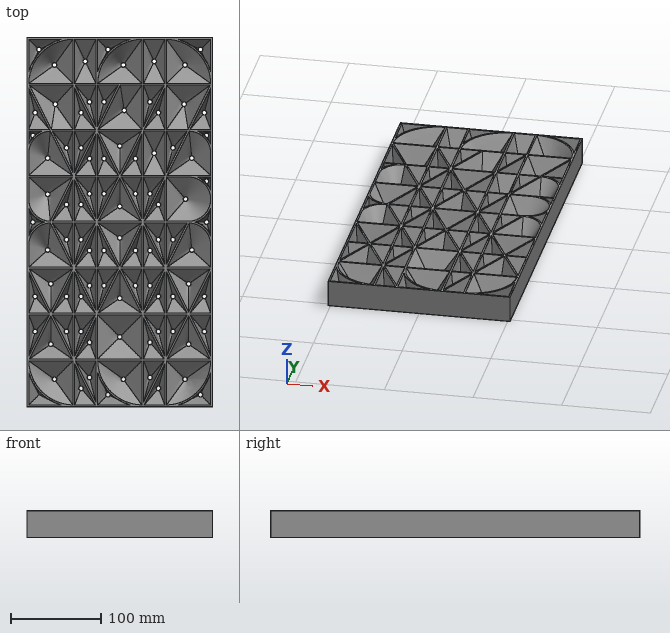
import cadquery as cq
import math

length = 408.5
height = 30.0
wall = 2.0
hole_diameter = 5.0

tip_diameter = 0.5
tip_height = 0.5

columns = 8
rows = 16
pitch = (length - wall) / rows
width = columns * pitch + wall

straight_walls = [((0, row), (columns, row)) for row in (0, 2, 4, 6, 10, 12, 14, 16)]
straight_walls += [((1, 8), (7, 8))]
straight_walls += [((column, 0), (column, rows)) for column in (0, 2, 3, 5, 6, 8)]

band_rows = 2
slants = {
    0: [(3, 2), (5, 6)],
    2: [(0, 1), (2, 1), (2, 3), (6, 5), (6, 7), (8, 7)],
    4: [(1, 0), (1, 2), (3, 2), (3, 4), (5, 4), (5, 6), (7, 6), (7, 8)],
    6: [(2, 1), (2, 3), (4, 3), (4, 5), (6, 5), (6, 7)],
    8: [(1, 2), (3, 2), (3, 4), (5, 4), (5, 6)],
    10: [(2, 1), (2, 3), (4, 3), (4, 5), (6, 7)],
    12: [(1, 0), (3, 2), (3, 4), (5, 6), (7, 8)],
}
straight_walls += [
    ((bottom, row), (top, row + band_rows)) for row, band in slants.items() for bottom, top in band
]

UPPER_RIGHT = 0
UPPER_LEFT = 90
LOWER_LEFT = 180
LOWER_RIGHT = 270

BLIND_CORNER_WALL = (2, 2, 2, LOWER_LEFT)

round_walls = [
    (2, 14, 2, UPPER_LEFT),
    (5, 14, 2, UPPER_LEFT),
    (6, 14, 2, UPPER_RIGHT),
    (1, 11, 1, UPPER_LEFT),
    (7, 11, 1, UPPER_RIGHT),
    (1, 9, 1, LOWER_LEFT),
    (7, 9, 1, UPPER_RIGHT),
    (7, 9, 1, LOWER_RIGHT),
    (1, 7, 1, UPPER_LEFT),
    (7, 7, 1, UPPER_RIGHT),
    BLIND_CORNER_WALL,
    (5, 2, 2, LOWER_LEFT),
    (6, 2, 2, LOWER_RIGHT),
]


def grid_point(column, row):
    return ((column - columns / 2) * pitch, (row - rows / 2) * pitch)


def straight_wall(start, end):
    x0, y0 = grid_point(*start)
    x1, y1 = grid_point(*end)
    return (
        cq.Workplane("XY")
        .box(math.hypot(x1 - x0, y1 - y0), wall, height, centered=(False, True, False))
        .rotate((0, 0, 0), (0, 0, 1), math.degrees(math.atan2(y1 - y0, x1 - x0)))
        .translate((x0, y0, 0))
        .val()
    )


def round_wall(column, row, radius, start_angle):
    inner = radius * pitch - wall / 2
    outer = radius * pitch + wall / 2
    diagonal = math.sqrt(0.5)
    return (
        cq.Workplane("XY")
        .moveTo(inner, 0)
        .lineTo(outer, 0)
        .threePointArc((outer * diagonal, outer * diagonal), (0, outer))
        .lineTo(0, inner)
        .threePointArc((inner * diagonal, inner * diagonal), (inner, 0))
        .close()
        .extrude(height)
        .rotate((0, 0, 0), (0, 0, 1), start_angle)
        .translate((*grid_point(column, row), 0))
        .val()
    )


def is_blind(point):
    """True only in the corner cell at -X, -Y, outside its round wall."""
    column, row, radius, _ = BLIND_CORNER_WALL
    center_x, center_y = grid_point(column, row)
    beyond_wall = math.hypot(point.x - center_x, point.y - center_y) > radius * pitch
    return beyond_wall and point.x < center_x and point.y < center_y


def funnel(rim):
    """Solid tapering from the rim of a cell to a hole, or a blind tip, below the rim line's centroid."""
    middle = rim.Center()
    blind = is_blind(middle)
    end_diameter = tip_diameter if blind else hole_diameter
    end_height = tip_height if blind else 0
    end_center = cq.Vector(middle.x, middle.y, end_height)
    end = cq.Wire.makeCircle(end_diameter / 2, end_center, cq.Vector(0, 0, 1))
    return cq.Solid.makeLoft([end, rim], ruled=True)


plate = cq.Workplane("XY").box(width, length, height, centered=(True, True, False)).val()

inside = (
    cq.Workplane("XY").box(width - wall, length - wall, height, centered=(True, True, False)).val()
)
walls = [straight_wall(*ends) for ends in straight_walls]
walls += [round_wall(*quarter) for quarter in round_walls]
cells = inside.cut(*walls).Solids()

funnels = [funnel(cell.faces(">Z").outerWire()) for cell in cells]
result = cq.Workplane(plate.cut(*funnels))